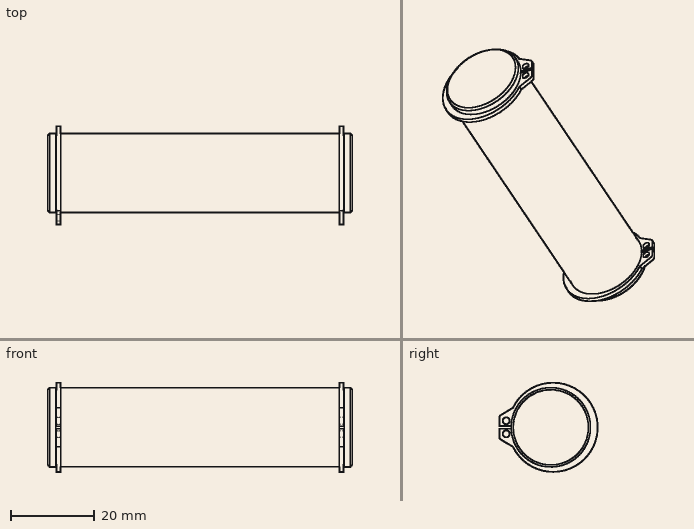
import cadquery as cq
import math


pin_length = 73.03
pin_diameter = 19.05
end_chamfer = 0.5

groove_diameter = 17.88
groove_width = 1.17
groove_inner_wall = 3.13

ring_thickness = 1.07
ring_diameter = 21.44
ring_offset = 0.55
ring_overall = 23.62
ring_gap = 0.6

lug_tip_half_height = 2.74
lug_flank_angle = 31.0
lug_corner_radius = 0.72
lug_hole_diameter = 1.6
lug_hole_spacing = 3.14
lug_hole_reach = 10.69

ring_radius = ring_diameter / 2
lug_tip_reach = ring_overall - ring_radius - ring_offset


def section_plane(x):
    """Plane across the pin at x: local x points to -Y and local y points to -Z."""
    return cq.Workplane(cq.Plane(origin=(x, 0, 0), xDir=(0, -1, 0), normal=(1, 0, 0)))


def make_pin():
    pin = section_plane(-pin_length / 2).circle(pin_diameter / 2).extrude(pin_length)
    return pin.faces("<X or >X").chamfer(end_chamfer)


def make_groove_cutter(start_x):
    """Washer that cuts one groove; its outside reaches well past the pin surface."""
    cutter = section_plane(start_x).circle(pin_diameter).circle(groove_diameter / 2)
    return cutter.extrude(groove_width)


def make_lugs(start_x):
    """Both lugs as one tapered block, from the pin axis to the lug tips."""
    root_half_height = lug_tip_half_height + lug_tip_reach * math.tan(math.radians(lug_flank_angle))
    block = (
        section_plane(start_x)
        .moveTo(0, -root_half_height)
        .lineTo(lug_tip_reach, -lug_tip_half_height)
        .lineTo(lug_tip_reach, lug_tip_half_height)
        .lineTo(0, root_half_height)
        .close()
        .extrude(ring_thickness)
    )
    return block.faces("<Y").edges("|X").fillet(lug_corner_radius)


def make_ring(start_x):
    """Split ring whose bore sits on the groove floor, with a plier hole in each lug."""
    body = section_plane(start_x).center(-ring_offset, 0).circle(ring_radius).extrude(ring_thickness)
    ring = body.union(make_lugs(start_x))
    bore = section_plane(start_x).circle(groove_diameter / 2).extrude(ring_thickness)
    gap = section_plane(start_x).center(lug_tip_reach / 2, 0)
    gap = gap.rect(lug_tip_reach, ring_gap).extrude(ring_thickness)
    holes = section_plane(start_x).pushPoints(
        [(lug_hole_reach, side * lug_hole_spacing / 2) for side in (-1, 1)]
    )
    holes = holes.circle(lug_hole_diameter / 2).extrude(ring_thickness)
    return ring.cut(bore).cut(gap).cut(holes)


inner_wall_x = pin_length / 2 - groove_inner_wall

result = make_pin()
for groove_x in (-inner_wall_x - groove_width, inner_wall_x):
    result = result.cut(make_groove_cutter(groove_x))
for ring_x in (-inner_wall_x - ring_thickness, inner_wall_x):
    result = result.union(make_ring(ring_x))